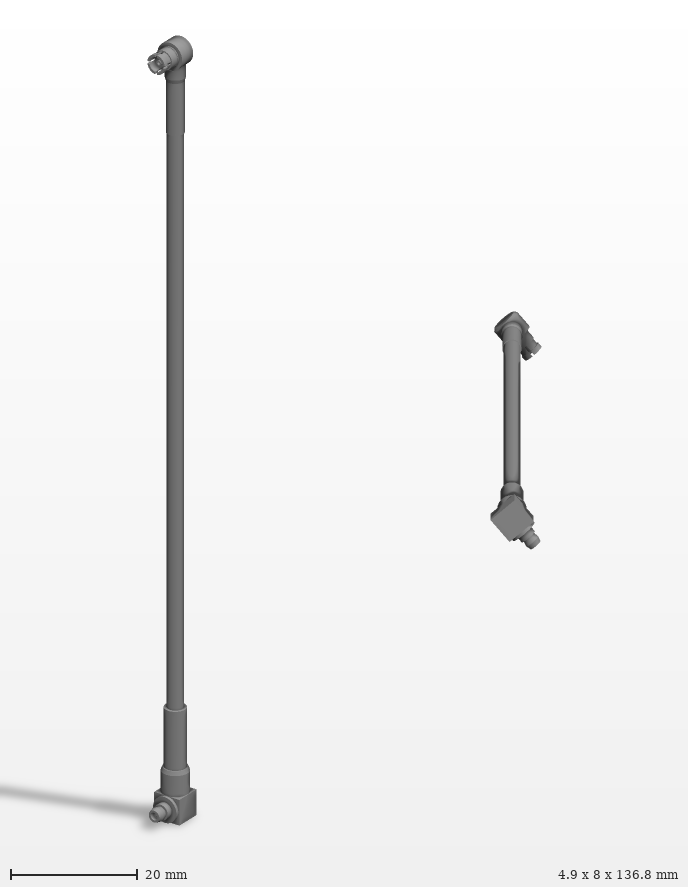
import cadquery as cq

TOTAL_HEIGHT = 136.8

CABLE_DIAMETER = 2.7
UPPER_SLEEVE_DIAMETER = 3.0
UPPER_SLEEVE_BOTTOM = 120.5
LOWER_SLEEVE_DIAMETER = 3.7
LOWER_SLEEVE_TOP = 19.3

DRUM_DIAMETER = 4.8
DRUM_BACK_Y = 1.9
DRUM_FRONT_Y = -1.5
DRUM_CHAMFER = 0.4
NECK_DIAMETER = 3.4
NECK_BOTTOM = 129.6
NECK_CHAMFER_HEIGHT = 0.7
NECK_CHAMFER_WIDTH = (NECK_DIAMETER - UPPER_SLEEVE_DIAMETER) / 2
JACK_DIAMETER = 3.4
JACK_LENGTH = 3.7
JACK_COLLAR_DIAMETER = 3.5
JACK_COLLAR_LENGTH = 0.3
JACK_RIM_LENGTH = 0.8
JACK_GROOVE_DIAMETER = 3.0
JACK_GROOVE_LENGTH = 1.1
JACK_BORE_DIAMETER = 2.6
JACK_BORE_DEPTH = 3.0
JACK_SLOT_WIDTH = 0.4
JACK_SLOT_DEPTH = JACK_RIM_LENGTH + JACK_GROOVE_LENGTH
DRUM_AXIS_Z = TOTAL_HEIGHT - DRUM_DIAMETER / 2
JACK_FRONT_Y = DRUM_FRONT_Y - JACK_LENGTH
JACK_BORE_FLOOR_Y = JACK_FRONT_Y + JACK_BORE_DEPTH

SOCKET_DIAMETER = 0.93
SOCKET_HOLE_DIAMETER = 0.5
SOCKET_HOLE_DEPTH = 1.6
SOCKET_RECESS = 0.7

BLOCK_WIDTH = 4.9
BLOCK_DEPTH = 4.6
BLOCK_HEIGHT = 4.5
SHANK_DIAMETER = 4.6
SHANK_TOP = 8.9
SHANK_CHAMFER_HEIGHT = 0.7
SHANK_CHAMFER_WIDTH = 0.3
FLANGE_DIAMETER = BLOCK_HEIGHT
FLANGE_THICKNESS = 0.5
PLUG_BASE_DIAMETER = 2.7
PLUG_GROOVE_DIAMETER = 2.0
PLUG_RING_DIAMETER = 2.5
PLUG_TIP_DIAMETER = 2.0
PLUG_BASE_LENGTH = 1.1
PLUG_RISE_LENGTH = 1.0
PLUG_TIP_LENGTH = 0.8
PLUG_BORE_DIAMETER = 1.3
PLUG_BORE_DEPTH = 2.0
PLUG_AXIS_Z = BLOCK_HEIGHT / 2
PLUG_BASE_Y = -BLOCK_DEPTH / 2 - FLANGE_THICKNESS
PLUG_GROOVE_Y = PLUG_BASE_Y - PLUG_BASE_LENGTH
PLUG_RING_Y = PLUG_GROOVE_Y - PLUG_RISE_LENGTH
PLUG_FRONT_Y = PLUG_RING_Y - PLUG_TIP_LENGTH
PLUG_BORE_FLOOR_Y = PLUG_FRONT_Y + PLUG_BORE_DEPTH

PIN_DIAMETER = 0.5
PIN_RECESS = 0.4

CONTACT_SEAT = 0.7


def upright_cylinder(diameter, bottom, top):
    """Cylinder on the cable axis, from z = bottom to z = top."""
    return cq.Workplane("XY", origin=(0, 0, bottom)).circle(diameter / 2).extrude(top - bottom)


def forward_cylinder(diameter, back, front, axis_z):
    """Cylinder along Y at height axis_z, from y = back forward to y = front."""
    return cq.Workplane("XZ", origin=(0, back, axis_z)).circle(diameter / 2).extrude(back - front)


def make_cable():
    return upright_cylinder(CABLE_DIAMETER, SHANK_TOP, NECK_BOTTOM)


def make_sleeve(diameter, bottom, top):
    """Tube fitted around the cable."""
    return upright_cylinder(diameter, bottom, top).cut(upright_cylinder(CABLE_DIAMETER, bottom, top))


def make_socket():
    """Round contact in the jack, with a hole for the mating pin."""
    back = JACK_BORE_FLOOR_Y + CONTACT_SEAT
    front = JACK_FRONT_Y + SOCKET_RECESS
    socket = forward_cylinder(SOCKET_DIAMETER, back, front, DRUM_AXIS_Z)
    hole = forward_cylinder(SOCKET_HOLE_DIAMETER, front + SOCKET_HOLE_DEPTH, front, DRUM_AXIS_Z)
    return socket.cut(hole)


def make_pin():
    back = PLUG_BORE_FLOOR_Y + CONTACT_SEAT
    return forward_cylinder(PIN_DIAMETER, back, PLUG_FRONT_Y + PIN_RECESS, PLUG_AXIS_Z)


def make_jack():
    """Jack sleeve with a groove behind its rim and four slots across the rim."""
    groove_front = JACK_FRONT_Y + JACK_RIM_LENGTH
    groove_back = groove_front + JACK_GROOVE_LENGTH
    collar_front = DRUM_FRONT_Y - JACK_COLLAR_LENGTH

    collar = forward_cylinder(JACK_COLLAR_DIAMETER, DRUM_FRONT_Y, collar_front, DRUM_AXIS_Z)
    body = forward_cylinder(JACK_DIAMETER, DRUM_FRONT_Y, groove_back, DRUM_AXIS_Z)
    groove = forward_cylinder(JACK_GROOVE_DIAMETER, groove_back, groove_front, DRUM_AXIS_Z)
    rim = forward_cylinder(JACK_DIAMETER, groove_front, JACK_FRONT_Y, DRUM_AXIS_Z)
    bore = forward_cylinder(JACK_BORE_DIAMETER, JACK_BORE_FLOOR_Y, JACK_FRONT_Y, DRUM_AXIS_Z)

    front_plane = cq.Workplane("XZ", origin=(0, JACK_FRONT_Y, DRUM_AXIS_Z))
    jack = body.union(collar).union(groove).union(rim).cut(bore)
    for slot_size in ((JACK_SLOT_WIDTH, JACK_DIAMETER), (JACK_DIAMETER, JACK_SLOT_WIDTH)):
        jack = jack.cut(front_plane.rect(*slot_size).extrude(-JACK_SLOT_DEPTH))
    return jack


def make_socket_seat():
    """Blind hole in the floor of the jack bore that holds the socket."""
    return forward_cylinder(SOCKET_DIAMETER, JACK_BORE_FLOOR_Y + CONTACT_SEAT, JACK_BORE_FLOOR_Y, DRUM_AXIS_Z)


def make_upper_housing():
    drum = forward_cylinder(DRUM_DIAMETER, DRUM_BACK_Y, DRUM_FRONT_Y, DRUM_AXIS_Z)
    drum = drum.faces(">Y").chamfer(DRUM_CHAMFER)

    neck = upright_cylinder(NECK_DIAMETER, NECK_BOTTOM, DRUM_AXIS_Z)
    neck = neck.faces("<Z").chamfer(NECK_CHAMFER_HEIGHT, NECK_CHAMFER_WIDTH)
    front_trim = (
        cq.Workplane("XZ", origin=(0, DRUM_FRONT_Y, DRUM_AXIS_Z))
        .rect(NECK_DIAMETER, DRUM_DIAMETER)
        .extrude(NECK_DIAMETER)
    )
    neck = neck.cut(front_trim)

    return drum.union(neck).union(make_jack()).cut(make_socket_seat())


def make_plug():
    """Turned plug: base, snap groove widening to a ring, and tapered tip around a bore."""
    outline = [
        (0, PLUG_BASE_Y),
        (PLUG_BASE_DIAMETER / 2, PLUG_BASE_Y),
        (PLUG_BASE_DIAMETER / 2, PLUG_GROOVE_Y),
        (PLUG_GROOVE_DIAMETER / 2, PLUG_GROOVE_Y),
        (PLUG_RING_DIAMETER / 2, PLUG_RING_Y),
        (PLUG_TIP_DIAMETER / 2, PLUG_FRONT_Y),
        (0, PLUG_FRONT_Y),
    ]
    plug = (
        cq.Workplane("XY", origin=(0, 0, PLUG_AXIS_Z))
        .polyline(outline)
        .close()
        .revolve(360, (0, 0), (0, 1))
    )
    return plug.cut(forward_cylinder(PLUG_BORE_DIAMETER, PLUG_BORE_FLOOR_Y, PLUG_FRONT_Y, PLUG_AXIS_Z))


def make_lower_housing():
    block = cq.Workplane("XY").rect(BLOCK_WIDTH, BLOCK_DEPTH).extrude(BLOCK_HEIGHT)
    shank = upright_cylinder(SHANK_DIAMETER, BLOCK_HEIGHT, SHANK_TOP)
    shank = shank.faces(">Z").chamfer(SHANK_CHAMFER_HEIGHT, SHANK_CHAMFER_WIDTH)
    flange = forward_cylinder(FLANGE_DIAMETER, -BLOCK_DEPTH / 2, PLUG_BASE_Y, PLUG_AXIS_Z)
    return block.union(shank).union(flange).union(make_plug()).cut(make_pin())


cable = make_cable()
upper_sleeve = make_sleeve(UPPER_SLEEVE_DIAMETER, UPPER_SLEEVE_BOTTOM, NECK_BOTTOM)
lower_sleeve = make_sleeve(LOWER_SLEEVE_DIAMETER, SHANK_TOP, LOWER_SLEEVE_TOP)
upper_housing = make_upper_housing()
socket = make_socket()
lower_housing = make_lower_housing()
pin = make_pin()

result = cq.Compound.makeCompound(
    [
        cable.val(),
        upper_sleeve.val(),
        lower_sleeve.val(),
        upper_housing.val(),
        socket.val(),
        lower_housing.val(),
        pin.val(),
    ]
)